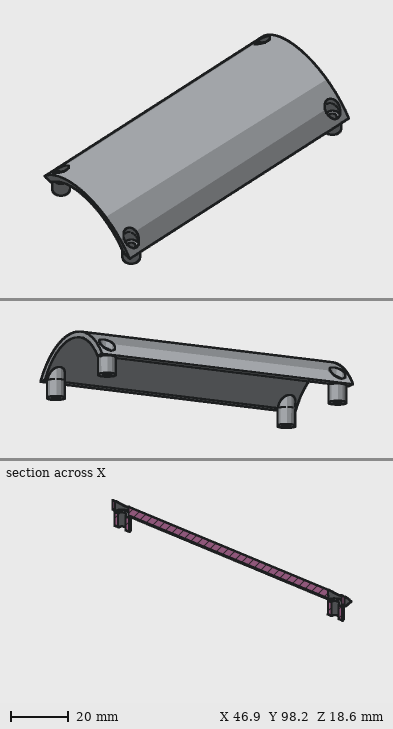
import cadquery as cq

length = 98.15
width = 46.9
arch_height = 12.4
thickness = 2.0
inner_width = 39.8

post_drop = 6.2
post_radius = 3.1
post_x = 19.3
post_end_inset = 4.0
post_y = length / 2 - post_end_inset
screw_radius = 1.5
head_radius = 2.7
head_seat_z = 0.0


def segment_prism(chord, height):
    """Circular segment standing on Z = 0, extruded along the cover."""
    return (
        cq.Workplane("XZ")
        .moveTo(-chord / 2, 0)
        .threePointArc((0, height), (chord / 2, 0))
        .close()
        .extrude(length / 2, both=True)
    )


def corner_cylinders(radius, bottom, top):
    """Vertical cylinders on the four screw axes."""
    return (
        cq.Workplane("XY", origin=(0, 0, bottom))
        .rect(2 * post_x, 2 * post_y, forConstruction=True)
        .vertices()
        .circle(radius)
        .extrude(top - bottom)
    )


dome = segment_prism(width, arch_height)
shell = dome.cut(segment_prism(inner_width, arch_height - thickness))

posts_below = corner_cylinders(post_radius, -post_drop, 0)
posts_inside = corner_cylinders(post_radius, 0, arch_height).intersect(dome)
body = shell.union(posts_inside).union(posts_below)

screw_holes = corner_cylinders(screw_radius, -post_drop, arch_height)
head_recesses = corner_cylinders(head_radius, head_seat_z, arch_height)
result = body.cut(screw_holes).cut(head_recesses)